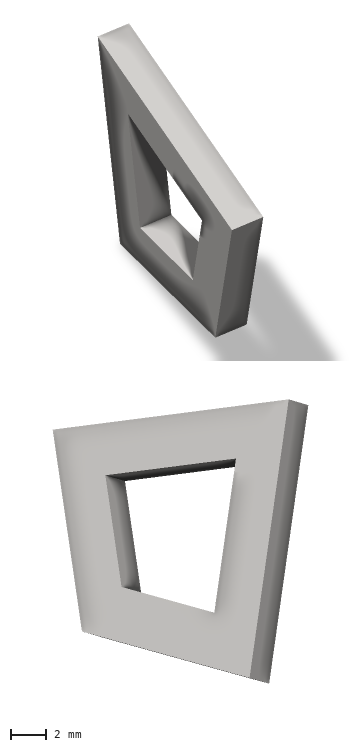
import cadquery as cq

width = 15.84
height = 15.62
thickness = 2.0
border = 3.0
low_corner_x = 2.63
right_corner_x = 13.88
right_side_drop = 11.74

outline = [
    (0, height),
    (width, height),
    (right_corner_x, height - right_side_drop),
    (low_corner_x, 0),
]


def outline_sketch():
    """Outer outline of the frame on the XZ plane."""
    return cq.Workplane("XZ").polyline(outline).close()


plate = outline_sketch().extrude(thickness)

window = outline_sketch().offset2D(-border, "intersection").extrude(thickness)

result = plate.cut(window)